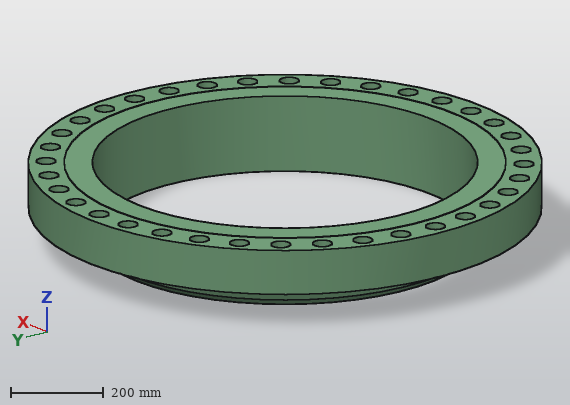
import cadquery as cq

outer_diameter = 1108.0
bore_diameter = 831.0
total_height = 173.0

flange_thickness = 102.0
face_diameter = 953.0
face_height = 1.0

hub_top_radius = 457.0
hub_end_radius = 440.0
bevel_height = 17.0
weld_end_radius = 422.0
root_fillet_radius = 14.0

bolt_count = 36
bolt_circle_diameter = 1030.0
bolt_hole_diameter = 42.0

plate_bottom = total_height - flange_thickness
plate_top = total_height - face_height




def flange_body():
    """Half section of plate, sealing face and hub, revolved about Z."""
    bore_radius = bore_diameter / 2
    outer_radius = outer_diameter / 2
    face_radius = face_diameter / 2
    section = (
        cq.Workplane("XZ")
        .moveTo(bore_radius, 0)
        .lineTo(weld_end_radius, 0)
        .lineTo(hub_end_radius, bevel_height)
        .lineTo(hub_top_radius, plate_bottom)
        .lineTo(outer_radius, plate_bottom)
        .lineTo(outer_radius, plate_top)
        .lineTo(face_radius, plate_top)
        .lineTo(face_radius, total_height)
        .lineTo(bore_radius, total_height)
        .close()
    )
    return section.revolve(360, (0, 0, 0), (0, 1, 0))


def fillet_hub_root(body):
    """Round the inside corner where the hub meets the underside of the plate."""
    reach = hub_top_radius + root_fillet_radius / 2
    margin = root_fillet_radius / 2
    root_zone = cq.selectors.BoxSelector(
        (-reach, -reach, plate_bottom - margin),
        (reach, reach, plate_bottom + margin),
        boundingbox=True,
    )
    return body.edges(root_zone).fillet(root_fillet_radius)


def bolt_holes():
    """Cutters for the ring of bolt holes through the plate."""
    return (
        cq.Workplane("XY")
        .workplane(offset=plate_bottom)
        .polarArray(bolt_circle_diameter / 2, 0, 360, bolt_count)
        .circle(bolt_hole_diameter / 2)
        .extrude(flange_thickness)
    )


result = fillet_hub_root(flange_body()).cut(bolt_holes())